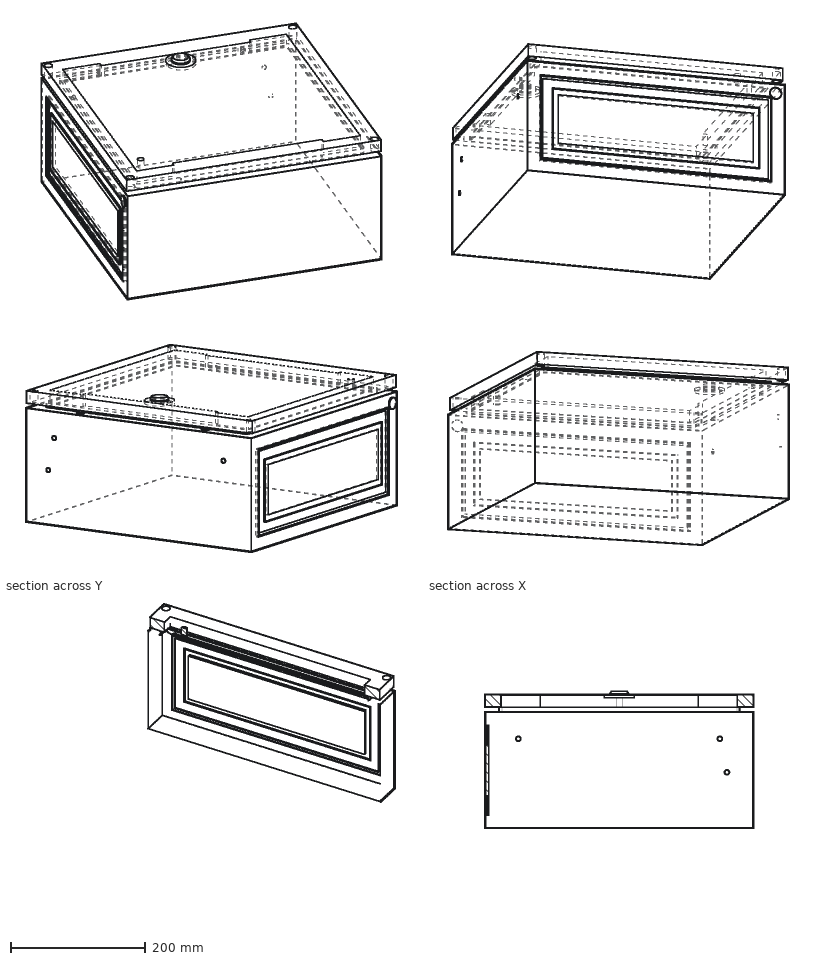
import cadquery as cq

SHEET = 1.2

HOUSING_X = 400.0
HOUSING_Y = HOUSING_X
HOUSING_TOP = 174.0
FRONT_Y = -HOUSING_Y / 2
LEFT_X = -HOUSING_X / 2

RIM_SIDE = 359.8
RIM_RADIUS = 5.2

DOOR_X = 394.8
DOOR_Y = HOUSING_Y
DOOR_CENTRE_X = -1.0
DOOR_BOTTOM = 180.5
DOOR_TOP = 199.5
DOOR_UNDERSIDE = DOOR_TOP - SHEET

BORDER_OPEN_X = 343.5
BORDER_OPEN_Y = 351.5
BORDER_NARROW_X = 329.5
BORDER_NARROW_Y = 235.0
CORNER_HOLE_RADIUS = 6.0
CORNER_HOLE_INSET = 8
EARTH_STUD_X = 138.0
EARTH_STUD_Y = -158.0
EARTH_STUD_RADIUS = 5.0
EARTH_STUD_LENGTH = 12

LOCK_X = -142.7
LOCK_RADIUS = 14.0
LOCK_TOP = 204.2
LOCK_CONE_HEIGHT = 3.5
LOCK_CONE_RUN = 2.5
LOCK_NUT_RADIUS = 22.5
LOCK_NUT_THICKNESS = 4

PAD_X = -188.0
PAD_AND_PIN_Y = 110.5
PAD_RADIUS = 5.5
PAD_HEIGHT = 2.0
HINGE_PIN_X = 183.7
HINGE_PIN_RADIUS = 1.0
SIDE_HOLE_RADIUS = 3.4
SIDE_HOLES = [(150.0, 133.5), (-150.0, 133.5), (160.5, 83.5)]
BOSS_X = 185
BOSS_Z = 158.5
BOSS_RADIUS = 9.0
BOSS_HEIGHT = 2.0

PLATE_Z = 86.5
OPENING_X = 356.5
OPENING_Z = 131.5
FLANGE_DEPTH = 6.0
PLATE_SHEET = 1.0
PLATE_DEPTH = 3.2
PLATE_RIM_WIDTH = 3.5
PANEL_X = 320.8
PANEL_Z = 95.5
PANEL_RISE = 2.5
BACKING_X = 302.5
BACKING_Z = 76.5


def block(size_x, size_y, bottom, top, centre_x=0):
    """Upright box centred on the Y axis between two heights."""
    return (
        cq.Workplane("XY", origin=(centre_x, 0, bottom))
        .rect(size_x, size_y)
        .extrude(top - bottom)
    )


def upright_cylinder(x, y, radius, bottom, top):
    return cq.Workplane("XY", origin=(x, y, bottom)).circle(radius).extrude(top - bottom)


def front_block(size_x, size_z, front_depth, back_depth):
    """Box centred on the gland plate, between two depths behind the front wall."""
    return (
        cq.Workplane("XZ", origin=(0, FRONT_Y + front_depth, PLATE_Z))
        .rect(size_x, size_z)
        .extrude(front_depth - back_depth)
    )


def make_shell():
    """Closed sheet metal box with an open, upstanding rim on top."""
    shell = block(HOUSING_X, HOUSING_Y, 0, HOUSING_TOP)
    rim = block(RIM_SIDE, RIM_SIDE, HOUSING_TOP, DOOR_BOTTOM).edges("|Z").fillet(RIM_RADIUS)
    cavity = block(HOUSING_X - 2 * SHEET, HOUSING_Y - 2 * SHEET, SHEET, HOUSING_TOP - SHEET)
    mouth_side = RIM_SIDE - 2 * SHEET
    mouth = block(mouth_side, mouth_side, HOUSING_TOP - SHEET, DOOR_BOTTOM)
    mouth = mouth.edges("|Z").fillet(RIM_RADIUS - SHEET)
    return shell.union(rim).cut(cavity).cut(mouth)


def add_front_opening(housing):
    """Opening for the gland plate, edged by a flange that turns inward."""
    flange = front_block(OPENING_X + 2 * SHEET, OPENING_Z + 2 * SHEET, 0, FLANGE_DEPTH)
    return housing.union(flange).cut(front_block(OPENING_X, OPENING_Z, 0, FLANGE_DEPTH))


def cut_side_holes(housing):
    for y, z in SIDE_HOLES:
        hole = cq.Workplane("YZ", origin=(LEFT_X, y, z)).circle(SIDE_HOLE_RADIUS).extrude(SHEET)
        housing = housing.cut(hole)
    return housing


def add_pads_and_pins(housing):
    pad_top = HOUSING_TOP + PAD_HEIGHT
    for side in (-1, 1):
        y = side * PAD_AND_PIN_Y
        pad = upright_cylinder(PAD_X, y, PAD_RADIUS, HOUSING_TOP, pad_top)
        pin = upright_cylinder(HINGE_PIN_X, y, HINGE_PIN_RADIUS, HOUSING_TOP, DOOR_BOTTOM)
        housing = housing.union(pad).union(pin)
    return housing


def add_front_boss(housing):
    """Round boss that overhangs one corner of the front opening."""
    boss = (
        cq.Workplane("XZ", origin=(BOSS_X, FRONT_Y + SHEET, BOSS_Z))
        .circle(BOSS_RADIUS)
        .extrude(SHEET + BOSS_HEIGHT)
    )
    return housing.union(boss)


def make_housing():
    housing = add_front_opening(make_shell())
    housing = add_pads_and_pins(cut_side_holes(housing))
    return add_front_boss(housing)


def make_door():
    door = block(DOOR_X, DOOR_Y, DOOR_BOTTOM, DOOR_TOP, DOOR_CENTRE_X)
    pocket = block(BORDER_NARROW_X, BORDER_OPEN_Y, DOOR_BOTTOM, DOOR_UNDERSIDE)
    end_length = (BORDER_OPEN_Y - BORDER_NARROW_Y) / 2
    end_y = (BORDER_OPEN_Y + BORDER_NARROW_Y) / 4
    for side in (-1, 1):
        end = block(BORDER_OPEN_X, end_length, DOOR_BOTTOM, DOOR_UNDERSIDE)
        pocket = pocket.union(end.translate((0, side * end_y, 0)))
    door = door.cut(pocket)
    for sx in (-1, 1):
        for sy in (-1, 1):
            x = DOOR_CENTRE_X + sx * (DOOR_X / 2 - CORNER_HOLE_INSET)
            y = sy * (DOOR_Y / 2 - CORNER_HOLE_INSET)
            hole = upright_cylinder(x, y, CORNER_HOLE_RADIUS, DOOR_BOTTOM, DOOR_UNDERSIDE)
            door = door.cut(hole)
    stud = upright_cylinder(
        EARTH_STUD_X, EARTH_STUD_Y, EARTH_STUD_RADIUS, DOOR_UNDERSIDE - EARTH_STUD_LENGTH, DOOR_UNDERSIDE
    )
    lock_hole = upright_cylinder(LOCK_X, 0, LOCK_RADIUS, DOOR_UNDERSIDE, DOOR_TOP)
    nut_space = upright_cylinder(LOCK_X, 0, LOCK_NUT_RADIUS, DOOR_BOTTOM, DOOR_UNDERSIDE)
    return door.union(stud).cut(lock_hole).cut(nut_space)


def make_lock():
    head = upright_cylinder(LOCK_X, 0, LOCK_RADIUS, DOOR_UNDERSIDE, LOCK_TOP)
    head = head.faces(">Z").chamfer(LOCK_CONE_HEIGHT, LOCK_CONE_RUN)
    nut = upright_cylinder(
        LOCK_X, 0, LOCK_NUT_RADIUS, DOOR_UNDERSIDE - LOCK_NUT_THICKNESS, DOOR_UNDERSIDE
    )
    return head.union(nut)


def make_gland_plate():
    back = PLATE_DEPTH + PLATE_SHEET
    panel_front = PLATE_DEPTH - PANEL_RISE
    panel_back = panel_front + PLATE_SHEET
    plate = front_block(OPENING_X, OPENING_Z, PLATE_DEPTH, FLANGE_DEPTH)
    rim_opening = front_block(
        OPENING_X - 2 * PLATE_RIM_WIDTH, OPENING_Z - 2 * PLATE_RIM_WIDTH, back, FLANGE_DEPTH
    )
    panel = front_block(PANEL_X, PANEL_Z, panel_front, PLATE_DEPTH)
    panel_hollow = front_block(PANEL_X - 2 * PLATE_SHEET, PANEL_Z - 2 * PLATE_SHEET, panel_back, back)
    backing = front_block(BACKING_X, BACKING_Z, panel_back, FLANGE_DEPTH)
    return plate.cut(rim_opening).union(panel).cut(panel_hollow).union(backing)


housing = make_housing()
door = make_door()
lock = make_lock()
gland_plate = make_gland_plate()

result = cq.Compound.makeCompound([housing.val(), door.val(), lock.val(), gland_plate.val()])